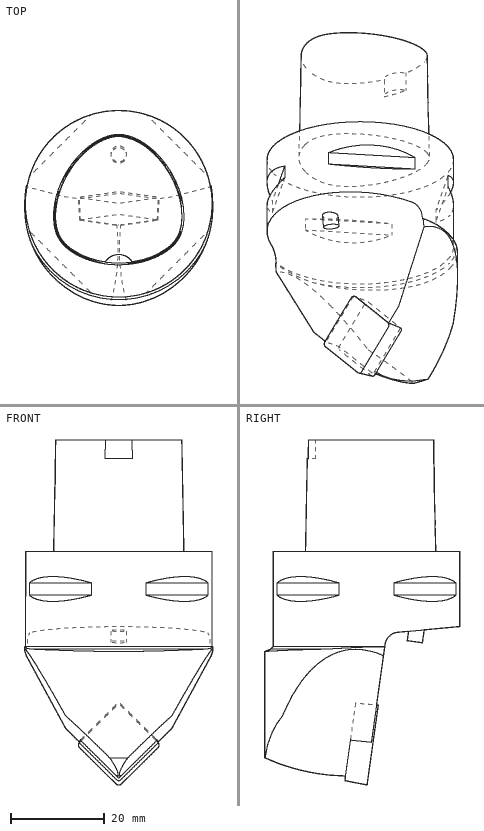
import cadquery as cq
import math

total_height = 74.0
shank_height = 23.9
tip_z = shank_height - total_height
flange_bottom = -20.35

shank_base_radius = 14.0
shank_top_radius = 13.55
lobe_height = 0.9
lobe_count = 3
outline_points = 36
notch_radius = 3.4
notch_center_y = -14.3
notch_depth = 4.0

flange_diameter = 40.0
flange_radius = flange_diameter / 2
slot_floor_distance = 17.7
slot_center_z = -8.1
slot_floor_height = 2.7
slot_flank_angle = 30.0
slot_count = 4

gullet_outer_z = -16.1
gullet_slope = 5.3
gullet_radius = 2.95

rake_angle = 8.0
face_tip_y = -0.2

nose_side_radius = 20.165
nose_front_y = -21.8
front_flat_half = 0.4
shoulder_x = 11.7
shoulder_y = -17.75
front_arc_mid = (6.1, -20.8)
side_arc_mid = (17.9, -10.35)
collar_knee_radius = 20.6
collar_knee_z = -20.95
collar_bottom_z = -21.45
wedge_apex = 0.8
wedge_corner_x = 11.4
wedge_flank_angle = 28.2
relief_start = (-4.6, -48.2)
relief_mid = (-12.1, -47.35)
relief_end = (-21.8, -44.25)

insert_half_diagonal = 8.65
insert_corner_radius = 0.8
insert_thickness = 4.9
insert_taper = 3.0
insert_proud = 0.4

nozzle_diameter = 3.3
nozzle_end_y = 10.35
nozzle_end_z = -19.4
nozzle_length = 5.9

margin = 3.7
rake = math.radians(rake_angle)
face_normal = cq.Vector(0, math.cos(rake), -math.sin(rake))
face_up = cq.Vector(0, math.sin(rake), math.cos(rake))
face_tip = cq.Vector(0, face_tip_y, tip_z + insert_proud * math.sin(rake))


def face_plane(offset=0.0):
    """Plane parallel to the cutting face, with local Y pointing up along it."""
    return cq.Workplane(cq.Plane(face_tip + face_normal * offset, (-1, 0, 0), face_normal))


def lobe_point(angle, mean_radius):
    """Point on a constant-width three-lobed outline with one lobe toward +Y."""
    phase = lobe_count * (angle - math.pi / 2)
    reach = mean_radius + lobe_height * math.cos(phase)
    reach_slope = -lobe_count * lobe_height * math.sin(phase)
    return (reach * math.cos(angle) - reach_slope * math.sin(angle),
            reach * math.sin(angle) + reach_slope * math.cos(angle))


def lobe_outline(mean_radius):
    return [lobe_point(2 * math.pi * i / outline_points, mean_radius) for i in range(outline_points)]


def make_shank():
    shank = (cq.Workplane("XY").spline(lobe_outline(shank_base_radius), periodic=True).close()
             .workplane(offset=shank_height)
             .spline(lobe_outline(shank_top_radius), periodic=True).close().loft())
    notch = (cq.Workplane("XY", origin=(0, notch_center_y, shank_height - notch_depth))
             .circle(notch_radius).extrude(notch_depth + margin))
    return shank.cut(notch)


def make_gripper_slot(angle):
    """Trapezoidal straight slot that widens outward."""
    half_floor = slot_floor_height / 2
    outer = flange_radius + margin
    half_mouth = half_floor + (outer - slot_floor_distance) * math.tan(math.radians(slot_flank_angle))
    return (cq.Workplane("XZ")
            .polyline([(slot_floor_distance, slot_center_z - half_floor),
                       (outer, slot_center_z - half_mouth),
                       (outer, slot_center_z + half_mouth),
                       (slot_floor_distance, slot_center_z + half_floor)])
            .close().extrude(flange_radius, both=True)
            .rotate((0, 0, 0), (0, 0, 1), angle))


def make_flange():
    flange = cq.Workplane("XY").circle(flange_radius).extrude(flange_bottom)
    for i in range(slot_count):
        flange = flange.cut(make_gripper_slot((i + 0.5) * 360 / slot_count))
    return flange


def make_nose_prism():
    """Upright column with the nose cross-section."""
    diagonal = nose_side_radius * math.sqrt(0.5)
    half = (cq.Workplane("XY", origin=(0, 0, flange_bottom))
            .moveTo(0, nose_side_radius)
            .threePointArc((diagonal, diagonal), (nose_side_radius, 0))
            .threePointArc(side_arc_mid, (shoulder_x, shoulder_y))
            .threePointArc(front_arc_mid, (front_flat_half, nose_front_y))
            .lineTo(0, nose_front_y).close().extrude(tip_z - flange_bottom))
    return half.union(half.mirror("YZ"))


def make_collar_envelope():
    """Round envelope whose flared top forms the collar below the flange."""
    outer = -nose_front_y
    return (cq.Workplane("XZ")
            .polyline([(0, flange_bottom), (flange_radius, flange_bottom),
                       (collar_knee_radius, collar_knee_z), (outer, collar_bottom_z),
                       (outer + margin, collar_bottom_z), (outer + margin, tip_z), (0, tip_z)])
            .close().revolve(360, (0, 0, 0), (0, 1, 0)))


def make_wedge():
    """V-shaped block swept square to the cutting face."""
    corner_v = wedge_apex + wedge_corner_x
    top_v = -tip_z
    top_x = wedge_corner_x + (top_v - corner_v) * math.tan(math.radians(wedge_flank_angle))
    depth = 2 * flange_radius
    return (face_plane()
            .polyline([(0, wedge_apex), (wedge_corner_x, corner_v), (top_x, top_v),
                       (-top_x, top_v), (-wedge_corner_x, corner_v)])
            .close().extrude(depth, both=True))


def make_tip_relief():
    """Curved underside that blunts the lower edge of the V."""
    low = tip_z - margin
    return (cq.Workplane("YZ").moveTo(*relief_start).threePointArc(relief_mid, relief_end)
            .lineTo(relief_end[0] - margin, relief_end[1]).lineTo(relief_end[0] - margin, low)
            .lineTo(relief_start[0], low).close().extrude(flange_radius, both=True))


def make_nose():
    return (make_nose_prism().intersect(make_collar_envelope())
            .intersect(make_wedge()).cut(make_tip_relief()))


def make_gullet():
    """Open space ahead of the cutting face, rounded into the flange underside."""
    slope = math.tan(math.radians(gullet_slope))

    def face_y(z):
        return face_tip.y + (z - face_tip.z) * math.tan(rake)

    def ceiling_z(y):
        return gullet_outer_z - (flange_radius - y) * slope

    outer_y = flange_radius + margin
    low = tip_z - margin
    corner_y = face_y(ceiling_z(0)) / (1 - slope * math.tan(rake))
    return (cq.Workplane("YZ")
            .polyline([(outer_y, ceiling_z(outer_y)), (corner_y, ceiling_z(corner_y)),
                       (face_y(low), low), (outer_y, low)])
            .close().extrude(flange_radius + margin, both=True)
            .edges(cq.selectors.NearestToPointSelector((0, corner_y, ceiling_z(corner_y))))
            .fillet(gullet_radius))


def make_nozzle():
    end = cq.Vector(0, nozzle_end_y, nozzle_end_z)
    return (cq.Workplane(cq.Plane(end, (1, 0, 0), face_up))
            .circle(nozzle_diameter / 2).extrude(nozzle_length))


def make_insert():
    """Square plate with rounded corners, narrowing away from its cutting edges."""
    sharp_half_diagonal = insert_half_diagonal + insert_corner_radius * (math.sqrt(2) - 1)
    side = sharp_half_diagonal * math.sqrt(2)
    outline = cq.Sketch().rect(side, side).vertices().fillet(insert_corner_radius)
    return (face_plane(insert_proud).center(0, insert_half_diagonal)
            .transformed(rotate=(0, 0, 45)).placeSketch(outline)
            .extrude(-insert_thickness, taper=insert_taper))


def make_holder(insert):
    body = make_flange().union(make_nose()).cut(make_gullet())
    return body.union(make_shank()).union(make_nozzle()).cut(insert)


insert = make_insert()
holder = make_holder(insert)

result = cq.Compound.makeCompound([holder.solids().val(), insert.val()])